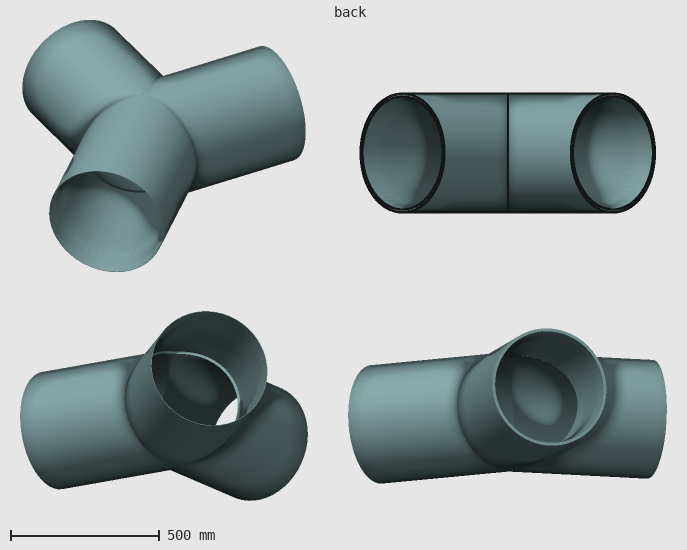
import cadquery as cq
import math

overall_length = 995.0
outer_radius = 200.0
branch_wall = 10.0
trunk_wall = 1.5
branch_angle = 45.0

branch_sine = math.sin(math.radians(branch_angle))
branch_cosine = math.cos(math.radians(branch_angle))
pipe_length = (overall_length - outer_radius * branch_sine) / (1 + branch_cosine)

full_turn = 360.0
right_heading = 90.0 - branch_angle
left_heading = 90.0 + branch_angle
trunk_heading = 270.0

wedge_reach = 4 * (pipe_length + outer_radius)
wedge_half_height = 2 * outer_radius


def point_at(heading, distance):
    """Point in the XY plane at a heading and distance from the junction."""
    angle = math.radians(heading)
    return (distance * math.cos(angle), distance * math.sin(angle))


def mitre_wedge(first_heading, last_heading):
    """Upright wedge with its edge on the Z axis, between two mitre planes."""
    return (
        cq.Workplane("XY")
        .moveTo(0, 0)
        .lineTo(*point_at(first_heading, wedge_reach))
        .lineTo(*point_at(last_heading, wedge_reach))
        .close()
        .extrude(wedge_half_height, both=True)
    )


def mitred_pipe(heading, wall, previous_heading, next_heading):
    """Pipe along a heading, mitred halfway to the neighbouring pipe on each side."""
    start_plane = cq.Plane(
        origin=(*point_at(heading, -pipe_length), 0),
        xDir=(0, 0, 1),
        normal=(*point_at(heading, 1), 0),
    )
    tube = (
        cq.Workplane(start_plane)
        .circle(outer_radius)
        .circle(outer_radius - wall)
        .extrude(2 * pipe_length)
    )
    first_mitre = (previous_heading + heading) / 2
    last_mitre = (heading + next_heading) / 2
    return tube.intersect(mitre_wedge(first_mitre, last_mitre)).solids()


trunk = mitred_pipe(trunk_heading, trunk_wall, left_heading, right_heading + full_turn)

branch_neighbours = [
    (right_heading, trunk_heading - full_turn, left_heading),
    (left_heading, right_heading, trunk_heading),
]
branches = [
    mitred_pipe(heading, branch_wall, previous_heading, next_heading)
    for heading, previous_heading, next_heading in branch_neighbours
]

result = cq.Compound.makeCompound([trunk.val(), *[branch.val() for branch in branches]])